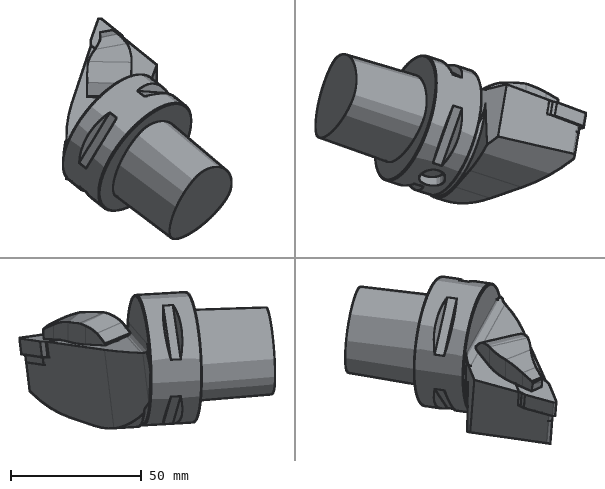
import cadquery as cq
import math


FLANGE_RADIUS = 25.0
FLANGE_LENGTH = 20.0
FLANGE_CHAMFER = 0.4
NECK_RADIUS = FLANGE_RADIUS - FLANGE_CHAMFER
NECK_LENGTH = 1.7

CUT_MARGIN = 0.9

SLOT_COUNT = 4
SLOT_X = -FLANGE_LENGTH / 2
SLOT_FLOOR_RADIUS = 22.1
SLOT_FLOOR_WIDTH = 3.8
SLOT_FLANK_ANGLE = 27
CHIP_POCKET_DIAMETER = 10.0
CHIP_POCKET_DEPTH = 4.5
CHIP_POCKET_X = -11.7

SHANK_LENGTH = 30.0
SHANK_MEAN_RADIUS = 17.5
SHANK_TAPER = 1 / 20
SHANK_LOBE = 1.2
SECTION_POINTS = 36

TIP_X = -60.705
TIP_Y = 35.1
TIP_Z = 0.0
RAKE_SLOPE_X = 0.1
RAKE_SLOPE_Y = -0.105

INSERT_ANGLE = 55
INSERT_WIDTH = 12.7
INSERT_THICKNESS = 6.3
INSERT_NOSE_RADIUS = 0.8
INSERT_BACK_EDGE_ANGLE = -3.4
INSERT_MAIN_EDGE_ANGLE = INSERT_BACK_EDGE_ANGLE - INSERT_ANGLE
CORNER_CUT_START = 13.3
CORNER_CUT_ANGLE = 19

SEAT_INSET = 0.5
SEAT_THICKNESS = 3.15

HEAD_RADIUS = 25.5
HEAD_NOSE_RADIUS = 1.2
HEAD_DEPTH = 45.0
WALL_TURN = 1.0
WALL_LENGTH = 48.1
WALL_CURVE_RADIUS = 76.5
WALL_CURVE_TURN = 14.5
WALL_ROOT_RADIUS = 4.995
BACK_WALL_LENGTH = 33.3
BACK_CORNER_ANGLE = -59
BACK_CORNER_LENGTH = 19.8
BELLY_FLAT = 11.7
BELLY_RADIUS = 36.9
ROOT_FILLET = 3.0

CLAMP_TOP = 12.9
CLAMP_TIP_BACK = (-49.7, 31.3)
CLAMP_TIP_FRONT = (-52.1, 27.1)
CLAMP_RAMP_BACK = (-45.1, 30.0)
CLAMP_RAMP_FRONT = (-48.7, 24.0)
CLAMP_KNEE_BACK = (-37.6, 27.45)
CLAMP_KNEE_FRONT = (-44.3, 16.65)
CLAMP_CREST_BACK = (-29.25, 21.5)
CLAMP_CREST_FRONT = (-41.0, 10.2)
CLAMP_END_BACK = (-20.8, 12.5)
CLAMP_END_FRONT = (-32.85, 1.2)
CLAMP_SIDE_FRONT = (-39.3, 7.65)
CLAMP_SIDE_MID_BACK = (-33.1, 24.8)
CLAMP_WAIST_FRONT = (-46.0, 20.25)
CLAMP_SIDE_MID_FRONT = (-42.7, 12.6)
CLAMP_TIP_HEIGHT = 5.85
CLAMP_RAMP_HEIGHT = 8.3
CLAMP_KNEE_HEIGHT = 11.5
CLAMP_SHOULDER_HEIGHT = 10.5
CLAMP_RAMP_RUN = 4.7
CLAMP_KNEE_RUN = 7.65
CLAMP_ROUND_RUN = 8.4
CLAMP_SLOPE_ANGLE = 42
CLAMP_LIP_WIDTH = 0.45
CLAMP_LIP_HEIGHT = 0.7
CLAMP_UNDERCUT = 0.8
CLAMP_SPAN = 54.0
CLAMP_MARGIN = 1.8

PIN_DIAMETER = 4.0
PIN_X = -28.4
PIN_Y = 7.1
PIN_TOP = 6.8

RAKE_PLANE = cq.Plane(
    origin=(TIP_X, TIP_Y, TIP_Z),
    xDir=(1, 0, RAKE_SLOPE_X),
    normal=(-RAKE_SLOPE_X, -RAKE_SLOPE_Y, 1),
)


def rake_height(x, y):
    """Z of the rake plane at (x, y)."""
    return TIP_Z + RAKE_SLOPE_X * (x - TIP_X) + RAKE_SLOPE_Y * (y - TIP_Y)


def move(point, angle, distance):
    """Point reached by going a distance in a direction given in degrees."""
    turn = math.radians(angle)
    return (point[0] + distance * math.cos(turn), point[1] + distance * math.sin(turn))


def inset_tip(inset):
    """Sharp tip, in the rake plane, of the insert outline set back by an inset."""
    bisector = (INSERT_BACK_EDGE_ANGLE + INSERT_MAIN_EDGE_ANGLE) / 2
    return move((0, 0), bisector, inset / math.sin(math.radians(INSERT_ANGLE / 2)))


def rhombus_plate(inset, nose_radius, top, thickness):
    """Plate shaped like the insert, set back by an inset, its top a given depth below the rake plane."""
    edge = INSERT_WIDTH / math.sin(math.radians(INSERT_ANGLE))
    side = edge - 2 * inset / math.sin(math.radians(INSERT_ANGLE))
    cut_start = CORNER_CUT_START - (edge - side)
    far_cut = (
        (side - cut_start)
        * math.sin(math.radians(CORNER_CUT_ANGLE))
        / math.sin(math.radians(INSERT_ANGLE - CORNER_CUT_ANGLE))
    )
    tip = inset_tip(inset)
    main_corner = move(tip, INSERT_MAIN_EDGE_ANGLE, side)
    back_corner = move(tip, INSERT_BACK_EDGE_ANGLE, side)
    outline = [
        tip,
        move(tip, INSERT_MAIN_EDGE_ANGLE, cut_start),
        move(main_corner, INSERT_BACK_EDGE_ANGLE, far_cut),
        move(main_corner, INSERT_BACK_EDGE_ANGLE, side),
        move(back_corner, INSERT_MAIN_EDGE_ANGLE, far_cut),
        move(tip, INSERT_BACK_EDGE_ANGLE, cut_start),
    ]
    plate = cq.Workplane(RAKE_PLANE).workplane(offset=-top).polyline(outline).close().extrude(-thickness)
    nose_edge = cq.selectors.NearestToPointSelector(RAKE_PLANE.toWorldCoords((*tip, -top - thickness / 2)))
    return plate.edges(nose_edge).fillet(nose_radius)


def make_insert():
    return rhombus_plate(0, INSERT_NOSE_RADIUS, 0, INSERT_THICKNESS)


def make_seat():
    return rhombus_plate(SEAT_INSET, HEAD_NOSE_RADIUS, INSERT_THICKNESS, SEAT_THICKNESS)


def shank_section(x, mean_radius):
    """Closed wire of the constant-width polygon, with one lobe pointing to +Z."""

    def point(turn):
        lobe_turn = 3 * (turn - math.pi / 2)
        reach = mean_radius + SHANK_LOBE * math.cos(lobe_turn)
        slide = -3 * SHANK_LOBE * math.sin(lobe_turn)
        y = reach * math.cos(turn) - slide * math.sin(turn)
        z = reach * math.sin(turn) + slide * math.cos(turn)
        return (y, z)

    section = cq.Workplane("YZ", origin=(x, 0, 0))
    points = [point(2 * math.pi * index / SECTION_POINTS) for index in range(SECTION_POINTS)]
    return cq.Wire.assembleEdges([section.spline(points, periodic=True).val()])


def make_shank():
    end_radius = SHANK_MEAN_RADIUS - SHANK_TAPER * SHANK_LENGTH / 2
    sections = [shank_section(0, SHANK_MEAN_RADIUS), shank_section(SHANK_LENGTH, end_radius)]
    return cq.Workplane(cq.Solid.makeLoft(sections, True))


def make_slot_cutter():
    """Trapezoidal bar along Y above the slot floor, at the +Z side of the flange."""
    height = FLANGE_RADIUS - SLOT_FLOOR_RADIUS + CUT_MARGIN
    half_floor = SLOT_FLOOR_WIDTH / 2
    half_mouth = half_floor + height * math.tan(math.radians(SLOT_FLANK_ANGLE))
    return (
        cq.Workplane("XZ", origin=(SLOT_X, 0, SLOT_FLOOR_RADIUS))
        .polyline([(-half_floor, 0), (half_floor, 0), (half_mouth, height), (-half_mouth, height)])
        .close()
        .extrude(FLANGE_RADIUS, both=True)
    )


def make_flange():
    flange = (
        cq.Workplane("YZ", origin=(-FLANGE_LENGTH, 0, 0))
        .circle(FLANGE_RADIUS)
        .extrude(FLANGE_LENGTH)
        .edges()
        .chamfer(FLANGE_CHAMFER)
    )
    slot = make_slot_cutter()
    for index in range(SLOT_COUNT):
        angle = 45 + index * 360 / SLOT_COUNT
        flange = flange.cut(slot.rotate((0, 0, 0), (1, 0, 0), angle))
    chip_pocket = (
        cq.Workplane("XY", origin=(CHIP_POCKET_X, 0, -FLANGE_RADIUS))
        .circle(CHIP_POCKET_DIAMETER / 2)
        .extrude(CHIP_POCKET_DEPTH)
    )
    return flange.cut(chip_pocket)


def make_head_prism(rise):
    """Head outline in the rake plane, extruded square to it from a given rise above it downward."""
    tip = inset_tip(SEAT_INSET)
    wall_angle = INSERT_MAIN_EDGE_ANGLE + WALL_TURN
    wall_end = move(tip, wall_angle, WALL_LENGTH)
    curve_center = move(wall_end, wall_angle + 90, WALL_CURVE_RADIUS)
    curve_mid = move(curve_center, wall_angle - 90 + WALL_CURVE_TURN / 2, WALL_CURVE_RADIUS)
    curve_end = move(curve_center, wall_angle - 90 + WALL_CURVE_TURN, WALL_CURVE_RADIUS)
    root_start_angle = wall_angle + WALL_CURVE_TURN + 90
    root_center = move(curve_end, root_start_angle - 180, WALL_ROOT_RADIUS)
    root_mid = move(root_center, root_start_angle / 2, WALL_ROOT_RADIUS)
    root_end = move(root_center, 0, WALL_ROOT_RADIUS)
    outer_end = move(root_end, -90, WALL_ROOT_RADIUS)
    back_corner = move(tip, INSERT_BACK_EDGE_ANGLE, BACK_WALL_LENGTH)
    back_end = move(back_corner, BACK_CORNER_ANGLE, BACK_CORNER_LENGTH)
    prism = (
        cq.Workplane(RAKE_PLANE)
        .workplane(offset=rise)
        .moveTo(*tip)
        .lineTo(*wall_end)
        .threePointArc(curve_mid, curve_end)
        .threePointArc(root_mid, root_end)
        .lineTo(*outer_end)
        .lineTo(*back_end)
        .lineTo(*back_corner)
        .close()
        .extrude(-rise - HEAD_DEPTH)
    )
    nose_edge = cq.selectors.NearestToPointSelector(RAKE_PLANE.toWorldCoords((*tip, (rise - HEAD_DEPTH) / 2)))
    return prism.edges(nose_edge).fillet(HEAD_NOSE_RADIUS)


def make_neck(length):
    """Cylinder that stands on the flange's front face."""
    return cq.Workplane("YZ", origin=(-FLANGE_LENGTH, 0, 0)).circle(NECK_RADIUS).extrude(-length)


def make_head_envelope():
    """Belly profile of the head along X, reduced to the neck just in front of the flange."""
    belly_end_y = TIP_Y + CUT_MARGIN
    belly_rise = BELLY_RADIUS - math.sqrt(BELLY_RADIUS**2 - (belly_end_y - BELLY_FLAT) ** 2)
    belly_mid_y = (BELLY_FLAT + belly_end_y) / 2
    belly_mid_rise = BELLY_RADIUS - math.sqrt(BELLY_RADIUS**2 - (belly_mid_y - BELLY_FLAT) ** 2)
    quarter = HEAD_RADIUS * math.sqrt(0.5)
    belly = (
        cq.Workplane("YZ", origin=(TIP_X, 0, 0))
        .moveTo(-HEAD_RADIUS, 0)
        .threePointArc((-quarter, -quarter), (0, -HEAD_RADIUS))
        .lineTo(BELLY_FLAT, -HEAD_RADIUS)
        .threePointArc((belly_mid_y, belly_mid_rise - HEAD_RADIUS), (belly_end_y, belly_rise - HEAD_RADIUS))
        .lineTo(belly_end_y, HEAD_RADIUS)
        .lineTo(-HEAD_RADIUS, HEAD_RADIUS)
        .close()
        .extrude(-TIP_X - FLANGE_LENGTH - NECK_LENGTH)
    )
    return belly.union(make_neck(NECK_LENGTH))


def make_root_fillet():
    """Concave fillet between the rake plane and the flange's front face."""
    line_y = -FLANGE_RADIUS
    corner = cq.Vector(-FLANGE_LENGTH, line_y, rake_height(-FLANGE_LENGTH, line_y))
    along = cq.Vector(0, 1, RAKE_SLOPE_Y).normalized()
    section = cq.Plane(origin=corner, xDir=(-1, 0, 0), normal=along)
    rake_fall = math.degrees(math.atan(RAKE_SLOPE_X * math.cos(math.atan(RAKE_SLOPE_Y))))
    opening = 90 + rake_fall
    setback = ROOT_FILLET / math.tan(math.radians(opening / 2))
    on_face = move((0, 0), 90, setback)
    on_rake = move((0, 0), -rake_fall, setback)
    bisector = (90 - rake_fall) / 2
    middle = move((0, 0), bisector, ROOT_FILLET / math.sin(math.radians(opening / 2)) - ROOT_FILLET)
    fillet = (
        cq.Workplane(section)
        .lineTo(*on_face)
        .threePointArc(middle, on_rake)
        .close()
        .extrude(2 * FLANGE_RADIUS)
    )
    return fillet.intersect(make_head_prism(HEAD_DEPTH)).intersect(make_neck(FLANGE_LENGTH))


def line_angle(first, second):
    """Direction in degrees from one (X, Y) point to another."""
    return math.degrees(math.atan2(second[1] - first[1], second[0] - first[0]))


def clamp_profile(front, back):
    """Upright plane square to a cross line, from which local x runs rearward; local y is Z."""
    cross_angle = line_angle(front, back)
    rearward = move((0, 0), cross_angle - 90, 1)
    sideways = move((0, 0), cross_angle - 180, 1)
    return cq.Workplane(cq.Plane(origin=(*front, 0), xDir=(*rearward, 0), normal=(*sideways, 0)))


def make_clamp_nose():
    """Undercut tip, ramp and round that lead up to the knee."""
    ramp_end = -CLAMP_KNEE_RUN
    tip = ramp_end - CLAMP_RAMP_RUN
    return (
        clamp_profile(CLAMP_KNEE_FRONT, CLAMP_KNEE_BACK)
        .moveTo(tip + CLAMP_UNDERCUT, 0)
        .lineTo(tip, CLAMP_TIP_HEIGHT - CLAMP_LIP_HEIGHT)
        .lineTo(tip + CLAMP_LIP_WIDTH, CLAMP_TIP_HEIGHT)
        .lineTo(ramp_end, CLAMP_RAMP_HEIGHT)
        .tangentArcPoint((0, CLAMP_KNEE_HEIGHT), relative=False)
        .lineTo(0, 0)
        .close()
        .extrude(CLAMP_SPAN / 2, both=True)
    )


def upright_wire(first, second, height):
    """Rectangle standing on the line between two (X, Y) points and a margin past both, from Z = 0 up."""
    angle = line_angle(first, second)
    first = move(first, angle, -CLAMP_MARGIN)
    second = move(second, angle, CLAMP_MARGIN)
    corners = [(*first, 0), (*second, 0), (*second, height), (*first, height)]
    return cq.Wire.makePolygon([cq.Vector(*corner) for corner in corners], close=True)


def make_clamp_middle():
    """Ruled piece between the knee and the crest, which are not parallel."""
    knee = upright_wire(CLAMP_KNEE_FRONT, CLAMP_KNEE_BACK, CLAMP_KNEE_HEIGHT)
    crest = upright_wire(CLAMP_CREST_FRONT, CLAMP_CREST_BACK, CLAMP_TOP)
    return cq.Workplane(cq.Solid.makeLoft([knee, crest], True))


def make_clamp_tail():
    """Round and slope from the crest down to the rear end."""
    drop = CLAMP_TOP - CLAMP_SHOULDER_HEIGHT
    radius = (CLAMP_ROUND_RUN**2 + drop**2) / (2 * drop)
    half_turn = math.asin(CLAMP_ROUND_RUN / radius) / 2
    round_middle = (radius * math.sin(half_turn), CLAMP_TOP - radius * (1 - math.cos(half_turn)))
    slope_run = CLAMP_SHOULDER_HEIGHT / math.tan(math.radians(CLAMP_SLOPE_ANGLE))
    return (
        clamp_profile(CLAMP_CREST_FRONT, CLAMP_CREST_BACK)
        .lineTo(0, CLAMP_TOP)
        .threePointArc(round_middle, (CLAMP_ROUND_RUN, CLAMP_SHOULDER_HEIGHT))
        .lineTo(CLAMP_ROUND_RUN + slope_run, 0)
        .close()
        .extrude(CLAMP_SPAN / 2, both=True)
    )


def make_clamp():
    outline = (
        cq.Workplane("XY")
        .moveTo(*CLAMP_TIP_BACK)
        .lineTo(*CLAMP_RAMP_BACK)
        .lineTo(*CLAMP_KNEE_BACK)
        .threePointArc(CLAMP_SIDE_MID_BACK, CLAMP_CREST_BACK)
        .lineTo(*CLAMP_END_BACK)
        .lineTo(*CLAMP_END_FRONT)
        .lineTo(*CLAMP_SIDE_FRONT)
        .threePointArc(CLAMP_SIDE_MID_FRONT, CLAMP_KNEE_FRONT)
        .threePointArc(CLAMP_WAIST_FRONT, CLAMP_RAMP_FRONT)
        .lineTo(*CLAMP_TIP_FRONT)
        .close()
        .extrude(CLAMP_TOP + CLAMP_MARGIN)
    )
    nose = outline.intersect(make_clamp_nose())
    middle = outline.intersect(make_clamp_middle())
    tail = outline.intersect(make_clamp_tail())
    return nose.union(middle).union(tail)


def make_pin():
    return cq.Workplane("XY", origin=(PIN_X, PIN_Y, 0)).circle(PIN_DIAMETER / 2).extrude(PIN_TOP)


def above_rake_plane():
    """Block that covers everything above the rake plane."""
    return cq.Workplane(RAKE_PLANE).rect(4 * HEAD_DEPTH, 4 * HEAD_DEPTH).extrude(HEAD_DEPTH)


def make_holder(insert):
    head = make_head_prism(0).intersect(make_head_envelope()).union(make_seat()).cut(insert)
    on_top = make_clamp().union(make_pin()).intersect(above_rake_plane())
    return (
        make_flange()
        .union(make_shank())
        .union(head)
        .union(make_root_fillet())
        .union(on_top)
    )


insert = make_insert()
holder = make_holder(insert)
result = cq.Compound.makeCompound([holder.val(), insert.val()])